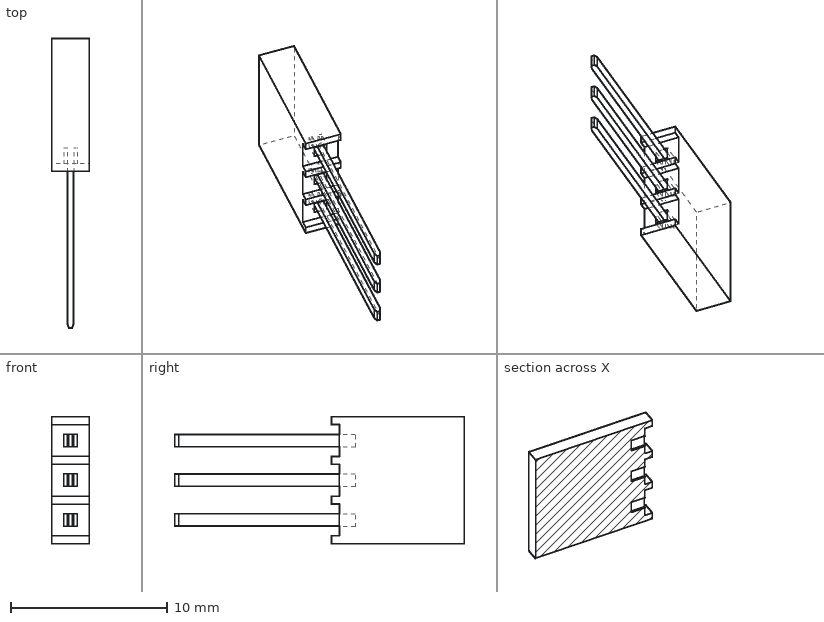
import cadquery as cq

width = 2.4
height = 8.13
total_length = 18.52
body_length = 8.5

pin_count = 3
pitch = 2.54
pin_thickness = 0.4
pin_height = 0.8
tip_length = 0.26
tip_thickness = 0.2

rib_thickness = 0.52
recess_depth = 0.52
recess_height = pitch - rib_thickness
pocket_width = 0.83
pocket_depth = 1.0

back_y = total_length / 2
body_front_y = back_y - body_length
recess_floor_y = body_front_y + recess_depth
pocket_floor_y = recess_floor_y + pocket_depth
tip_y = -total_length / 2

pin_centers = [(i - (pin_count - 1) / 2) * pitch for i in range(pin_count)]


def block(size_x, size_z, start_y, end_y, center_z=0):
    """Box centred on X, running along Y from start_y to end_y."""
    return (
        cq.Workplane("XY")
        .box(size_x, end_y - start_y, size_z, centered=(True, False, True))
        .translate((0, start_y, center_z))
    )


def pin(center_z):
    """Flat pin standing on the pocket floor, with its tip narrowed in X."""
    half = pin_thickness / 2
    half_tip = tip_thickness / 2
    shoulder_y = tip_y + tip_length
    outline = [
        (-half, pocket_floor_y),
        (-half, shoulder_y),
        (-half_tip, tip_y),
        (half_tip, tip_y),
        (half, shoulder_y),
        (half, pocket_floor_y),
    ]
    return (
        cq.Workplane("XY")
        .polyline(outline)
        .close()
        .extrude(pin_height / 2, both=True)
        .translate((0, 0, center_z))
    )


result = block(width, height, body_front_y, back_y)
for z in pin_centers:
    recess = block(width, recess_height, body_front_y, recess_floor_y, z)
    pocket = block(pocket_width, pin_height, recess_floor_y, pocket_floor_y, z)
    result = result.cut(recess).cut(pocket).union(pin(z))